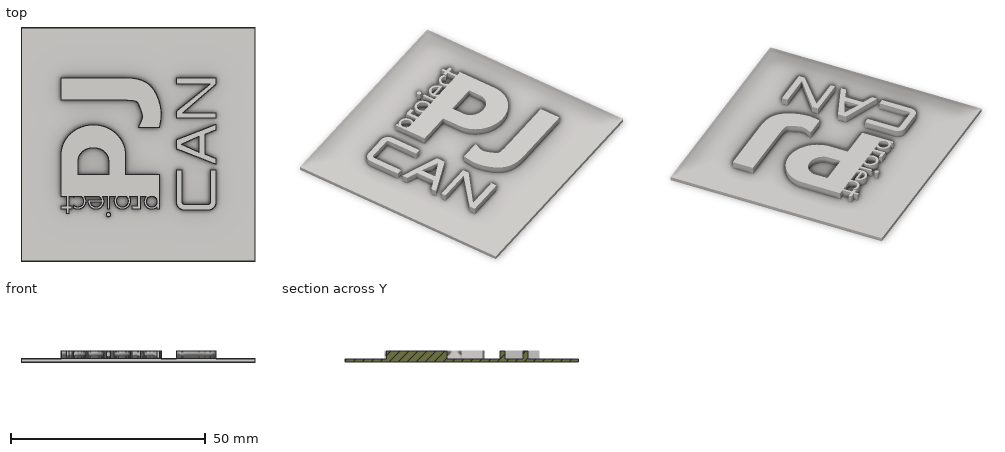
import cadquery as cq

PLATE_SIDE = 60.0
PLATE_THICKNESS = 0.96
RELIEF_HEIGHT = 2.0

LARGE_LEFT = -19.83
LETTERS_TOP = 17.1
CAPS_LEFT = 9.79
CAPS_RIGHT = 20.0

P_BOTTOM = -13.38
P_STEM_TOP = -7.73
P_RIGHT = 5.45
P_BOWL_RIGHT = -3.25
P_BOWL_SPRING = -2.6
P_BOWL_RISE = 7.67
P_COUNTER_LEFT = -15.48
P_COUNTER_RIGHT = -7.56
P_COUNTER_SPRING = -4.25
P_COUNTER_RISE = 3.42

J_BAR_BOTTOM = 11.4
J_TIP_Y = 4.34
J_OUTER_START_X = -2.9
J_OUTER_SHOULDER = (4.4, 13.4)
J_OUTER_EXTREME = (5.87, 8.6)
J_OUTER_TIP_X = 5.43
J_INNER_START_X = -4.4
J_INNER_SHOULDER = (0.3, 9.75)
J_INNER_EXTREME = (1.05, 7.5)
J_INNER_TIP_X = 0.0
J_OUTER_TIP_DIRECTION = (-0.2, -1)
J_INNER_TIP_DIRECTION = (0.45, 1)

C_TOP = -6.48
C_BOTTOM = -16.85
C_STROKE = 1.5
C_OUTER_RADIUS = 2.1

A_AXIS_Y = 0.06
A_APEX_HALF_WIDTH = 1.15
A_FOOT_OUTER = 5.15
A_FOOT_INNER = 3.7
A_CROSSBAR_RIGHT = 17.1
A_CROSSBAR_HALF_WIDTH = 2.5
A_COUNTER_LEFT = 11.1
A_COUNTER_RIGHT = 15.64
A_COUNTER_HALF_WIDTH = 2.05

N_BOTTOM = 6.86
N_UPPER_BAR_BOTTOM = 15.53
N_LOWER_BAR_TOP = 8.1
N_DIAGONAL_LOWER_X = 11.43
N_DIAGONAL_UPPER_X = 18.45
N_LEFT_CORNER_Y = 8.55

SMALL_BOTTOM = -16.6
SMALL_STROKE = 0.58
SMALL_ARM_TOP = -15.8
SMALL_P_X, SMALL_P_RADIUS = 3.48, 1.95
R_STEM_LEFT, R_STEM_RIGHT, R_ARM_LEFT = -0.19, 0.56, -1.6
O_X, O_RADIUS = -4.07, 2.1
I_X, I_DOT_Y, I_DOT_RADIUS = -7.66, -18.0, 0.55
E_X, E_RADIUS = -10.85, 2.03
E_BAR_BOTTOM, E_BAR_TOP = -14.81, -14.28
SMALL_C_X, SMALL_C_RADIUS, SMALL_C_END_X = -15.5, 2.05, -16.6
T_X, T_BOTTOM = -18.13, -17.68
T_ARM_LEFT, T_ARM_RIGHT = -19.8, -17.0


def relief_plane():
    return cq.Workplane("XY").workplane(offset=PLATE_THICKNESS)


def raised_outline(points):
    return relief_plane().polyline(points).close().extrude(RELIEF_HEIGHT)


def raised_box(left, right, bottom, top):
    return raised_outline([(left, bottom), (right, bottom), (right, top), (left, top)])


def raised_disc(x, y, radius):
    return relief_plane().center(x, y).circle(radius).extrude(RELIEF_HEIGHT)


def raised_arch(left, right, bottom, spring, rise):
    """Straight-sided block topped by half an ellipse."""
    middle = (left + right) / 2
    half_width = (right - left) / 2
    crown = relief_plane().center(middle, spring).ellipse(half_width, rise).extrude(RELIEF_HEIGHT)
    above_spring = raised_box(left, right, spring, spring + rise)
    return raised_box(left, right, bottom, spring).union(crown.intersect(above_spring))


def large_p():
    bowl = raised_arch(LARGE_LEFT, P_BOWL_RIGHT, P_BOTTOM, P_BOWL_SPRING, P_BOWL_RISE)
    stem = raised_box(LARGE_LEFT, P_RIGHT, P_BOTTOM, P_STEM_TOP)
    counter = raised_arch(
        P_COUNTER_LEFT, P_COUNTER_RIGHT, P_STEM_TOP, P_COUNTER_SPRING, P_COUNTER_RISE
    )
    return bowl.union(stem).cut(counter)


def large_j():
    return (
        relief_plane()
        .moveTo(LARGE_LEFT, LETTERS_TOP)
        .lineTo(J_OUTER_START_X, LETTERS_TOP)
        .spline(
            [J_OUTER_SHOULDER, J_OUTER_EXTREME, (J_OUTER_TIP_X, J_TIP_Y)],
            tangents=[(1, 0), J_OUTER_TIP_DIRECTION],
            includeCurrent=True,
        )
        .lineTo(J_INNER_TIP_X, J_TIP_Y)
        .spline(
            [J_INNER_EXTREME, J_INNER_SHOULDER, (J_INNER_START_X, J_BAR_BOTTOM)],
            tangents=[J_INNER_TIP_DIRECTION, (-1, 0)],
            includeCurrent=True,
        )
        .lineTo(LARGE_LEFT, J_BAR_BOTTOM)
        .close()
        .extrude(RELIEF_HEIGHT)
    )


def cap_c():
    outer = raised_box(CAPS_LEFT, CAPS_RIGHT, C_BOTTOM, C_TOP)
    outer = outer.edges("|Z and <Y").fillet(C_OUTER_RADIUS)
    inner = raised_box(
        CAPS_LEFT + C_STROKE, CAPS_RIGHT - C_STROKE, C_BOTTOM + C_STROKE, C_TOP
    )
    inner = inner.edges("|Z and <Y").fillet(C_OUTER_RADIUS - C_STROKE)
    return outer.cut(inner)


def cap_a():
    upper_half = [
        (CAPS_LEFT, A_APEX_HALF_WIDTH),
        (CAPS_RIGHT, A_FOOT_OUTER),
        (CAPS_RIGHT, A_FOOT_INNER),
        (A_CROSSBAR_RIGHT, A_CROSSBAR_HALF_WIDTH),
    ]
    upper = [(x, A_AXIS_Y + offset) for x, offset in upper_half]
    lower = [(x, A_AXIS_Y - offset) for x, offset in reversed(upper_half)]
    counter = raised_outline([
        (A_COUNTER_LEFT, A_AXIS_Y),
        (A_COUNTER_RIGHT, A_AXIS_Y + A_COUNTER_HALF_WIDTH),
        (A_COUNTER_RIGHT, A_AXIS_Y - A_COUNTER_HALF_WIDTH),
    ])
    return raised_outline(upper + lower).cut(counter)


def cap_n():
    return raised_outline([
        (CAPS_LEFT, LETTERS_TOP),
        (CAPS_RIGHT, LETTERS_TOP),
        (CAPS_RIGHT, N_UPPER_BAR_BOTTOM),
        (N_DIAGONAL_LOWER_X, N_LOWER_BAR_TOP),
        (CAPS_RIGHT, N_LOWER_BAR_TOP),
        (CAPS_RIGHT, N_BOTTOM),
        (CAPS_LEFT, N_BOTTOM),
        (CAPS_LEFT, N_LEFT_CORNER_Y),
        (N_DIAGONAL_UPPER_X, N_UPPER_BAR_BOTTOM),
        (CAPS_LEFT, N_UPPER_BAR_BOTTOM),
    ])


def small_ring(x, radius):
    """Ring standing on the small letters' bottom line, trimmed at the edge of the P."""
    y = SMALL_BOTTOM + radius
    ring = raised_disc(x, y, radius).cut(raised_disc(x, y, radius - SMALL_STROKE))
    return ring.intersect(raised_box(x - radius, x + radius, SMALL_BOTTOM, P_BOTTOM))


def small_stem(x, bottom):
    return raised_box(x - SMALL_STROKE / 2, x + SMALL_STROKE / 2, bottom, P_BOTTOM)


def small_p():
    return small_ring(SMALL_P_X, SMALL_P_RADIUS).union(
        small_stem(P_RIGHT - SMALL_STROKE / 2, SMALL_BOTTOM)
    )


def small_r():
    stem = raised_box(R_STEM_LEFT, R_STEM_RIGHT, SMALL_BOTTOM, P_BOTTOM)
    return stem.union(raised_box(R_ARM_LEFT, R_STEM_LEFT, SMALL_BOTTOM, SMALL_ARM_TOP))


def small_dotted_stem():
    return small_stem(I_X, SMALL_BOTTOM).union(raised_disc(I_X, I_DOT_Y, I_DOT_RADIUS))


def small_e():
    mouth = raised_box(E_X - E_RADIUS, E_X, E_BAR_TOP, P_BOTTOM)
    inner_radius = E_RADIUS - SMALL_STROKE / 2
    bar = raised_box(E_X - inner_radius, E_X + inner_radius, E_BAR_BOTTOM, E_BAR_TOP)
    return small_ring(E_X, E_RADIUS).cut(mouth).union(bar)


def small_c():
    right_of_opening = raised_box(
        SMALL_C_END_X, SMALL_C_X + SMALL_C_RADIUS, SMALL_BOTTOM, P_BOTTOM
    )
    return small_ring(SMALL_C_X, SMALL_C_RADIUS).intersect(right_of_opening)


def small_t():
    crossbar = raised_box(T_ARM_LEFT, T_ARM_RIGHT, SMALL_BOTTOM, SMALL_ARM_TOP)
    return small_stem(T_X, T_BOTTOM).union(crossbar)


plate = cq.Workplane("XY").box(
    PLATE_SIDE, PLATE_SIDE, PLATE_THICKNESS, centered=(True, True, False)
)

raised_shapes = [
    large_p(),
    large_j(),
    cap_c(),
    cap_a(),
    cap_n(),
    small_p(),
    small_r(),
    small_ring(O_X, O_RADIUS),
    small_dotted_stem(),
    small_e(),
    small_c(),
    small_t(),
]

result = plate
for shape in raised_shapes:
    result = result.union(shape)